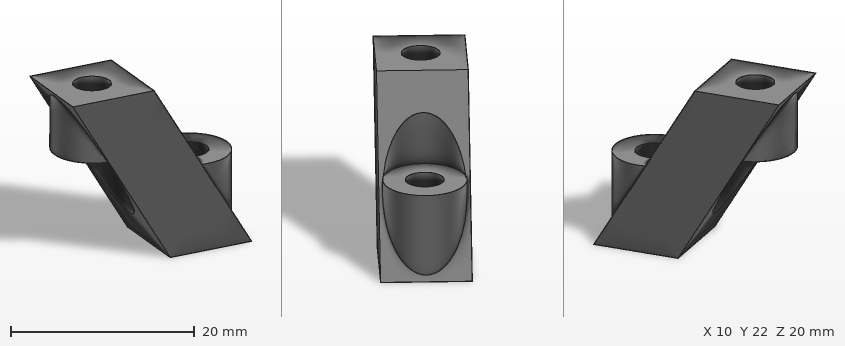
import cadquery as cq

width = 10.0
height = 20.0
end_length = 10.0
lean = 12.0

hole_diameter = 4.2
seat_diameter = 9.2
front_seat_z = 12.5
rear_seat_z = 10.0

front_hole_y = end_length / 2
rear_hole_y = lean + end_length / 2


def vertical_cylinder(diameter, y, z_bottom, z_top):
    """Cylinder parallel to Z, centred on the block width."""
    return (
        cq.Workplane("XY", origin=(0, y, z_bottom))
        .circle(diameter / 2)
        .extrude(z_top - z_bottom)
    )


def slanted_block():
    """Block leaning toward -Y as it rises."""
    outline = [
        (lean, 0),
        (lean + end_length, 0),
        (end_length, height),
        (0, height),
    ]
    return cq.Workplane("YZ").polyline(outline).close().extrude(width / 2, both=True)


def add_screw_seat(body, y, boss_range, clearance_range):
    """Boss around the screw, head clearance beyond its seat, and a through hole."""
    body = body.union(vertical_cylinder(seat_diameter, y, *boss_range))
    body = body.cut(vertical_cylinder(seat_diameter, y, *clearance_range))
    return body.cut(vertical_cylinder(hole_diameter, y, 0, height))


result = slanted_block()
result = add_screw_seat(result, front_hole_y, (front_seat_z, height), (0, front_seat_z))
result = add_screw_seat(result, rear_hole_y, (0, rear_seat_z), (rear_seat_z, height))